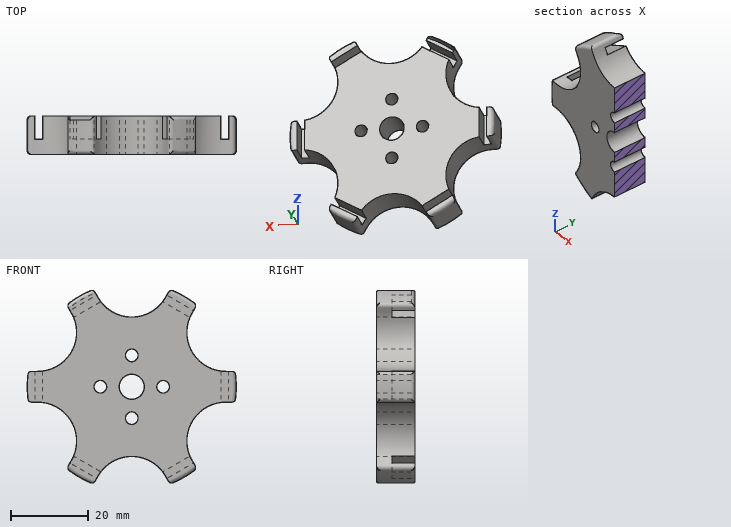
import cadquery as cq
import math

outer_radius = 27.0
thickness = 10.0

arm_count = 6
arm_half_width = 4.0
scallop_floor_radius = 18.0
tip_fillet = 1.0

slot_inner = 23.0
slot_width = 2.0
slot_depth = 6.0

center_hole_diameter = 6.4
bolt_hole_diameter = 3.2
bolt_circle_radius = 8.1
bolt_count = 4

arm_pitch = 360.0 / arm_count
half_pitch_sine = math.sin(math.radians(arm_pitch / 2))

scallop_center_distance = (scallop_floor_radius - arm_half_width) / (1 - half_pitch_sine)
scallop_radius = scallop_center_distance - scallop_floor_radius
tangent_distance = scallop_center_distance * math.cos(math.radians(arm_pitch / 2))
tip_corner_distance = math.sqrt(outer_radius**2 - arm_half_width**2)


def turned(along, across, angle):
    """Point given along and across a direction at the angle, in X and Z."""
    cosine = math.cos(math.radians(angle))
    sine = math.sin(math.radians(angle))
    return (along * cosine - across * sine, along * sine + across * cosine)


def front_plane():
    """Workplane on the front face: local X is +X, local Y is +Z, normal is -Y."""
    return cq.Workplane("XZ")


def make_body():
    outline = front_plane().moveTo(*turned(tip_corner_distance, -arm_half_width, 0))
    for index in range(arm_count):
        angle = index * arm_pitch
        next_angle = angle + arm_pitch
        outline = (
            outline.threePointArc(
                turned(outer_radius, 0, angle),
                turned(tip_corner_distance, arm_half_width, angle),
            )
            .lineTo(*turned(tangent_distance, arm_half_width, angle))
            .threePointArc(
                turned(scallop_floor_radius, 0, angle + arm_pitch / 2),
                turned(tangent_distance, -arm_half_width, next_angle),
            )
            .lineTo(*turned(tip_corner_distance, -arm_half_width, next_angle))
        )
    return outline.close().extrude(-thickness)


def cut_slots(body):
    slot_center = slot_inner + slot_width / 2
    slot_length = 2 * scallop_radius
    for index in range(arm_count):
        slot = (
            cq.Workplane("XY")
            .box(slot_width, slot_depth, slot_length)
            .translate((slot_center, thickness - slot_depth / 2, 0))
            .rotate((0, 0, 0), (0, 1, 0), index * arm_pitch)
        )
        body = body.cut(slot)
    return body


def cut_holes(body):
    center_hole = front_plane().circle(center_hole_diameter / 2).extrude(-thickness)
    bolt_holes = (
        front_plane()
        .polarArray(bolt_circle_radius, 0, 360, bolt_count)
        .circle(bolt_hole_diameter / 2)
        .extrude(-thickness)
    )
    return body.cut(center_hole).cut(bolt_holes)


def round_tips(body):
    """Round all four edges of the outer face of every arm."""
    for index in range(arm_count):
        tip_x, tip_z = turned(outer_radius, 0, index * arm_pitch)
        tip_face = cq.selectors.NearestToPointSelector((tip_x, thickness / 2, tip_z))
        body = body.faces(tip_face).edges().fillet(tip_fillet)
    return body


result = round_tips(cut_holes(cut_slots(make_body())))